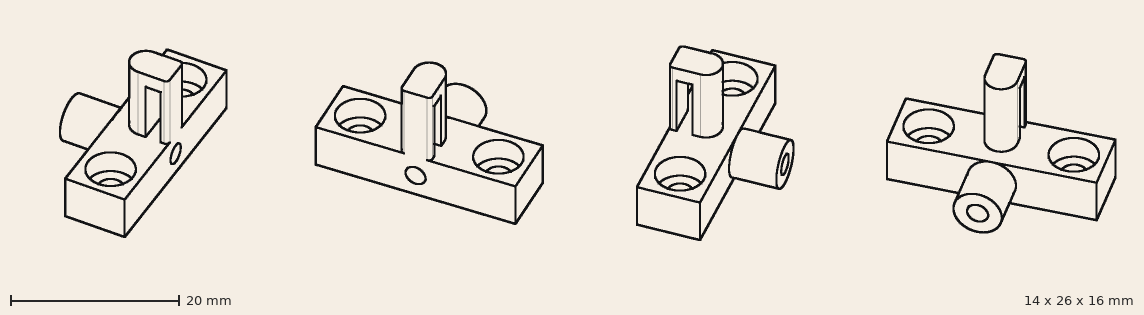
import cadquery as cq

block_depth = 8.0
block_width = 26.0
block_height = 6.0

spigot_diameter = block_height
spigot_length = 5.98
bore_diameter = 2.6

screw_spacing = 18.0
screw_diameter = 3.2
counterbore_diameter = 6.0
counterbore_depth = 3.0

post_length = 6.0
post_width = 4.0
post_height = 9.98
post_corner_radius = 0.5

window_length = 2.0
window_height = 8.0
window_back_wall = 1.0

overlap = 0.25


def make_block():
    return cq.Workplane("XY").box(
        block_depth, block_width, block_height, centered=(False, True, False)
    )


def make_spigot():
    return (
        cq.Workplane("YZ", origin=(-spigot_length, 0, block_height / 2))
        .circle(spigot_diameter / 2)
        .extrude(spigot_length + overlap)
    )


def make_bore():
    return (
        cq.Workplane("YZ", origin=(-spigot_length, 0, block_height / 2))
        .circle(bore_diameter / 2)
        .extrude(spigot_length + block_depth)
    )


def make_post():
    half_width = post_width / 2
    front = block_depth - post_length
    round_start = front + half_width
    return (
        cq.Workplane("XY", origin=(0, 0, block_height))
        .moveTo(round_start, half_width)
        .threePointArc((front, 0), (round_start, -half_width))
        .lineTo(block_depth, -half_width)
        .lineTo(block_depth, half_width)
        .close()
        .extrude(post_height)
        .edges("|Z and >X")
        .fillet(post_corner_radius)
    )


def make_window():
    window_start = block_depth - window_back_wall - window_length
    return cq.Workplane("XY", origin=(window_start, 0, block_height)).box(
        window_length, post_width, window_height, centered=(False, True, False)
    )


def cut_screw_holes(body):
    return (
        body.faces(">Z")
        .workplane(origin=(block_depth / 2, 0, block_height))
        .pushPoints([(0, -screw_spacing / 2), (0, screw_spacing / 2)])
        .cboreHole(screw_diameter, counterbore_diameter, counterbore_depth)
    )


base = cut_screw_holes(make_block()).union(make_spigot()).cut(make_bore())
post = make_post().cut(make_window())
result = base.union(post)